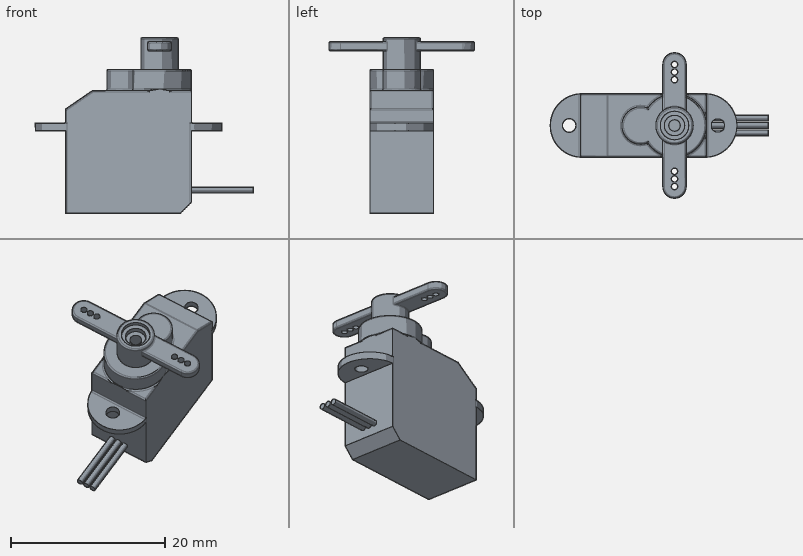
import cadquery as cq
import math


EDGE_RADIUS = 0.2

CASE_LENGTH = 16.35
CASE_WIDTH = 8.25
CASE_TOP = 15.93
SLOPE_BOTTOM = 13.52
SLOPE_RUN = 3.5
HEEL_CHAMFER = 1.45

EAR_SPAN = 24.22
EAR_TOP = 11.68
EAR_THICKNESS = 1.0
MOUNT_HOLE_DIAMETER = 1.73
MOUNT_HOLE_X = 9.65

OUTPUT_X = 4.02

COVER_TOP = 18.67
LARGE_LOBE_DIAMETER = CASE_WIDTH
SMALL_LOBE_DIAMETER = 4.87
LOBE_SPACING = 4.38

WIRE_COUNT = 3
WIRE_DIAMETER = 0.8
WIRE_PITCH = 0.95
WIRE_HEIGHT = 3.0
WIRE_END_X = 16.18

HUB_DIAMETER = 4.87
HORN_TOP = 22.77
ARM_SPAN = 18.9
ARM_WIDTH = 3.05
ARM_TOP = 22.26
ARM_THICKNESS = 1.2
ARM_HOLE_DIAMETER = 0.8
ARM_HOLE_COUNT = 3
ARM_HOLE_PITCH = 1.0
FIRST_ARM_HOLE_Y = 5.95
ROOT_RADIUS = 0.08
RIM_BORE_DIAMETER = 3.7
RIM_BORE_DEPTH = 0.57
SCREW_HEAD_DIAMETER = 2.65
SCREW_HEAD_DEPTH = 0.75
SHAFT_BORE_DIAMETER = 1.5

CASE_END = CASE_LENGTH / 2
CASE_SIDE = CASE_WIDTH / 2
SMALL_LOBE_X = OUTPUT_X - LOBE_SPACING


def cylinder(diameter, bottom, top, x=0, y=0):
    """Upright cylinder between two heights."""
    return cq.Workplane("XY", origin=(x, y, bottom)).circle(diameter / 2).extrude(top - bottom)


def case_block():
    """Side profile of the case, extruded across the width, with rounded upper edges."""
    block = (
        cq.Workplane("XZ")
        .moveTo(-CASE_END, 0)
        .lineTo(CASE_END - HEEL_CHAMFER, 0)
        .lineTo(CASE_END, HEEL_CHAMFER)
        .lineTo(CASE_END, CASE_TOP)
        .lineTo(SLOPE_RUN - CASE_END, CASE_TOP)
        .lineTo(-CASE_END, SLOPE_BOTTOM)
        .close()
        .extrude(CASE_SIDE, both=True)
    )
    upper_faces = block.faces(cq.selectors.BoxSelector(
        (-CASE_END, -CASE_SIDE, SLOPE_BOTTOM),
        (CASE_END - EDGE_RADIUS, CASE_SIDE, CASE_TOP + EDGE_RADIUS),
    ))
    return upper_faces.edges().fillet(EDGE_RADIUS)


def straight_walls(bottom, top):
    """Rectangular prism within the four case walls."""
    return cq.Workplane("XY", origin=(0, 0, bottom)).rect(CASE_LENGTH, CASE_WIDTH).extrude(top - bottom)


def ear_outline(bottom):
    """Round-ended prism from a given height to the top of the ears."""
    return (
        cq.Workplane("XY", origin=(0, 0, bottom))
        .slot2D(EAR_SPAN, CASE_WIDTH)
        .extrude(EAR_TOP - bottom)
    )


def ear_root_fillet(side):
    """Concave fillet where an ear meets the case wall; side is -1 or 1."""
    fillet_center = (side * (CASE_END + EDGE_RADIUS), EAR_TOP + EDGE_RADIUS)
    offset = EDGE_RADIUS * math.sqrt(0.5)
    return (
        cq.Workplane("XZ")
        .moveTo(side * CASE_END, EAR_TOP)
        .lineTo(fillet_center[0], EAR_TOP)
        .threePointArc(
            (fillet_center[0] - side * offset, fillet_center[1] - offset),
            (side * CASE_END, fillet_center[1]),
        )
        .close()
        .extrude(CASE_SIDE - EDGE_RADIUS / 10, both=True)
    )


def cover_lobe(diameter, x):
    """Round lobe rooted in the case, with a flared foot on the case top and a rounded top edge."""
    radius = diameter / 2
    offset = EDGE_RADIUS * (1 - math.sqrt(0.5))
    return (
        cq.Workplane("XZ", origin=(x, 0, 0))
        .moveTo(0, EAR_TOP)
        .lineTo(radius + EDGE_RADIUS, EAR_TOP)
        .lineTo(radius + EDGE_RADIUS, CASE_TOP)
        .threePointArc((radius + offset, CASE_TOP + offset), (radius, CASE_TOP + EDGE_RADIUS))
        .lineTo(radius, COVER_TOP - EDGE_RADIUS)
        .threePointArc((radius - offset, COVER_TOP - offset), (radius - EDGE_RADIUS, COVER_TOP))
        .lineTo(0, COVER_TOP)
        .close()
        .revolve(360, (0, 0, 0), (0, 1, 0))
    )


def add_gear_cover(case):
    """Case with both cover lobes; the large flare is trimmed at the case walls."""
    large_lobe = cover_lobe(LARGE_LOBE_DIAMETER, OUTPUT_X).intersect(straight_walls(EAR_TOP, COVER_TOP))
    small_lobe = cover_lobe(SMALL_LOBE_DIAMETER, SMALL_LOBE_X)
    return case.union(large_lobe).union(small_lobe)


def wires():
    """Row of parallel wires leaving the case end."""
    offsets = [(0, (i - (WIRE_COUNT - 1) / 2) * WIRE_PITCH) for i in range(WIRE_COUNT)]
    return (
        cq.Workplane("YZ", origin=(CASE_END, 0, WIRE_HEIGHT))
        .pushPoints([(y, z) for z, y in offsets])
        .circle(WIRE_DIAMETER / 2)
        .extrude(WIRE_END_X - CASE_END)
    )


def make_servo():
    case = case_block().intersect(ear_outline(0).union(straight_walls(EAR_TOP, CASE_TOP)))
    servo = add_gear_cover(case)
    servo = servo.union(ear_outline(EAR_TOP - EAR_THICKNESS))
    for side in (-1, 1):
        servo = servo.union(ear_root_fillet(side))
        servo = servo.cut(cylinder(MOUNT_HOLE_DIAMETER, 0, EAR_TOP, side * MOUNT_HOLE_X))
    return servo.union(wires())


def horn_arm():
    """Double arm with round ends and rounded edges, centred on the output axis."""
    return (
        cq.Workplane("XY", origin=(OUTPUT_X, 0, ARM_TOP - ARM_THICKNESS))
        .slot2D(ARM_SPAN, ARM_WIDTH, 90)
        .extrude(ARM_THICKNESS)
        .faces("<Z or >Z")
        .edges()
        .fillet(EDGE_RADIUS)
    )


def round_arm_roots(horn):
    """Fillet the upright edges where the arm sides meet the hub."""
    reach = HUB_DIAMETER / 2
    near_hub = cq.selectors.BoxSelector(
        (OUTPUT_X - reach, -reach, ARM_TOP - ARM_THICKNESS),
        (OUTPUT_X + reach, reach, ARM_TOP),
    )
    return horn.edges("|Z").edges(near_hub).fillet(ROOT_RADIUS)


def make_horn():
    hub = cylinder(HUB_DIAMETER, COVER_TOP, HORN_TOP, OUTPUT_X).faces(">Z").edges().fillet(EDGE_RADIUS)
    horn = round_arm_roots(hub.union(horn_arm()))

    rim_floor = HORN_TOP - RIM_BORE_DEPTH
    head_floor = rim_floor - SCREW_HEAD_DEPTH
    horn = horn.cut(cylinder(RIM_BORE_DIAMETER, rim_floor, HORN_TOP, OUTPUT_X))
    horn = horn.cut(cylinder(SCREW_HEAD_DIAMETER, head_floor, rim_floor, OUTPUT_X))
    horn = horn.cut(cylinder(SHAFT_BORE_DIAMETER, COVER_TOP, head_floor, OUTPUT_X))

    for side in (-1, 1):
        for i in range(ARM_HOLE_COUNT):
            hole_y = side * (FIRST_ARM_HOLE_Y + i * ARM_HOLE_PITCH)
            horn = horn.cut(cylinder(ARM_HOLE_DIAMETER, COVER_TOP, HORN_TOP, OUTPUT_X, hole_y))
    return horn


servo = make_servo()
horn = make_horn()

result = cq.Compound.makeCompound([servo.val(), horn.val()])